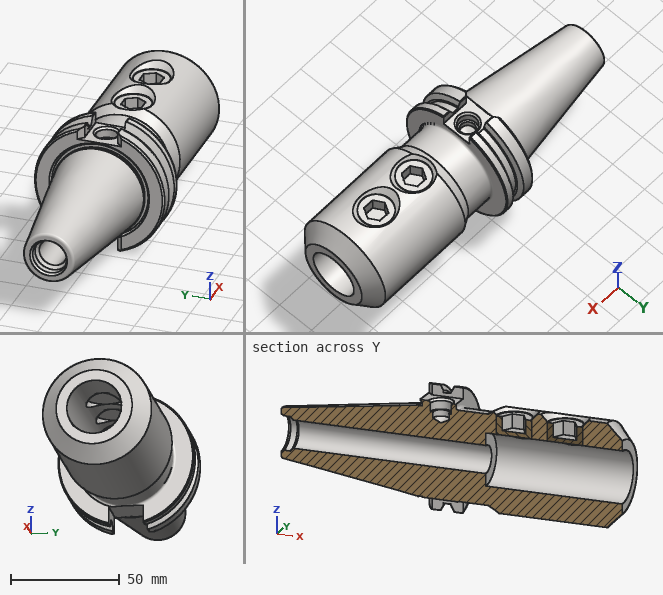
import cadquery as cq
import math

LENGTH = 169.9

TAPER_END_X = 68.3
TAPER_LARGE_DIA = 44.5
TAPER_PER_LENGTH = 7 / 24
SMALL_END_FILLET = 1.4
UNDERCUT_DIA = 44.0

FLANGE_DIA = 63.4
FLANGE_FRONT_X = 69.1
FLANGE_BACK_X = 87.1
FRONT_CORNER = 0.8
BACK_CORNER = 0.5
RECESS_OUTER_DIA = 49.0
RECESS_FLOOR_DIA = 47.0
RECESS_DEPTH = 1.0

GROOVE_FLOOR_DIA = 56.0
GROOVE_FLOOR_START_X = 77.3
GROOVE_FLOOR_END_X = 80.9
FRONT_FLANK_DEPTH = 2.5
FLANK_SLOPE = math.tan(math.radians(30))

NECK_DIA = 44.5
NECK_FILLET = 1.2
NECK_END_X = 103.0
BODY_DIA = 50.8
BODY_START_X = 108.5
NOSE_CHAMFER = 7.6

STUD_MOUTH_DIA = 18.2
STUD_BORE_DIA = 16.5
STUD_MOUTH_DEPTH = 1.4
STUD_BORE_DEPTH = 4.6
PASSAGE_DIA = 13.5
TOOL_BORE_DIA = 25.5
TOOL_BORE_START_X = 102.0

SLOT_WIDTH = 16.1
SLOT_CHAMFER = 2.7
SLOT_EDGE_BREAK = 0.3
TOP_SLOT_FLOOR = 25.0
BOTTOM_SLOT_FLOOR = 22.5

SLOT_HOLE_X = 79.5
SLOT_HOLE_MOUTH_DIA = 12.2
SLOT_HOLE_DIA = 10.2
SLOT_HOLE_DEPTH = 5.1
PILOT_DIA = 8.0
PILOT_DEPTH = 8.2
PILOT_TIP_ANGLE = 130

SCREW_PITCH = 25.3
FIRST_SCREW_X = 115.8
SCREW_XS = [FIRST_SCREW_X, FIRST_SCREW_X + SCREW_PITCH]
SCREW_DIA = 17.3
SCREW_TOP_Z = 21.9
COUNTERSINK_FLOOR_Z = 22.3
SCREW_BOTTOM_Z = TOOL_BORE_DIA / 2
COUNTERSINK_TOP_Z = BODY_DIA / 2
HEX_ACROSS_FLATS = 10.0
HEX_DEPTH = 6.8


def revolve_about_x(profile):
    return profile.close().revolve(360, (0, 0, 0), (1, 0, 0))


def outer_shape():
    small_radius = (TAPER_LARGE_DIA - TAPER_END_X * TAPER_PER_LENGTH) / 2
    flange_radius = FLANGE_DIA / 2
    floor_radius = GROOVE_FLOOR_DIA / 2
    body_radius = BODY_DIA / 2
    front_flank_x = GROOVE_FLOOR_START_X - FRONT_FLANK_DEPTH * FLANK_SLOPE
    back_flank_x = GROOVE_FLOOR_END_X + (flange_radius - floor_radius) * FLANK_SLOPE
    profile = (
        cq.Workplane("XY")
        .lineTo(0, small_radius)
        .lineTo(TAPER_END_X, TAPER_LARGE_DIA / 2)
        .lineTo(TAPER_END_X, UNDERCUT_DIA / 2)
        .lineTo(FLANGE_FRONT_X + RECESS_DEPTH, UNDERCUT_DIA / 2)
        .lineTo(FLANGE_FRONT_X + RECESS_DEPTH, RECESS_FLOOR_DIA / 2)
        .lineTo(FLANGE_FRONT_X, RECESS_OUTER_DIA / 2)
        .lineTo(FLANGE_FRONT_X, flange_radius - FRONT_CORNER)
        .lineTo(FLANGE_FRONT_X + FRONT_CORNER, flange_radius)
        .lineTo(front_flank_x, flange_radius)
        .lineTo(GROOVE_FLOOR_START_X, flange_radius - FRONT_FLANK_DEPTH)
        .lineTo(GROOVE_FLOOR_START_X, floor_radius)
        .lineTo(GROOVE_FLOOR_END_X, floor_radius)
        .lineTo(back_flank_x, flange_radius)
        .lineTo(FLANGE_BACK_X - BACK_CORNER, flange_radius)
        .lineTo(FLANGE_BACK_X, flange_radius - BACK_CORNER)
        .lineTo(FLANGE_BACK_X, NECK_DIA / 2 + NECK_FILLET)
        .radiusArc((FLANGE_BACK_X + NECK_FILLET, NECK_DIA / 2), -NECK_FILLET)
        .lineTo(NECK_END_X, NECK_DIA / 2)
        .lineTo(BODY_START_X, body_radius)
        .lineTo(LENGTH - NOSE_CHAMFER, body_radius)
        .lineTo(LENGTH, body_radius - NOSE_CHAMFER)
        .lineTo(LENGTH, 0)
    )
    return revolve_about_x(profile).faces("<X").edges().fillet(SMALL_END_FILLET)


def axial_bores():
    passage_start_x = STUD_BORE_DEPTH + (STUD_BORE_DIA - PASSAGE_DIA) / 2
    profile = (
        cq.Workplane("XY")
        .lineTo(0, STUD_MOUTH_DIA / 2)
        .lineTo(STUD_MOUTH_DEPTH, STUD_BORE_DIA / 2)
        .lineTo(STUD_BORE_DEPTH, STUD_BORE_DIA / 2)
        .lineTo(passage_start_x, PASSAGE_DIA / 2)
        .lineTo(TOOL_BORE_START_X, PASSAGE_DIA / 2)
        .lineTo(TOOL_BORE_START_X, TOOL_BORE_DIA / 2)
        .lineTo(LENGTH, TOOL_BORE_DIA / 2)
        .lineTo(LENGTH, 0)
    )
    return revolve_about_x(profile)


def slot_cutter(floor_height):
    """Vertical slot open at the top, flaring at 45 degrees towards the taper side."""
    half_width = SLOT_WIDTH / 2
    return (
        cq.Workplane("XY", origin=(0, 0, floor_height))
        .moveTo(FLANGE_FRONT_X, half_width + SLOT_CHAMFER)
        .lineTo(FLANGE_FRONT_X + SLOT_CHAMFER, half_width)
        .lineTo(FLANGE_BACK_X + NECK_FILLET, half_width)
        .lineTo(FLANGE_BACK_X + NECK_FILLET, -half_width)
        .lineTo(FLANGE_FRONT_X + SLOT_CHAMFER, -half_width)
        .lineTo(FLANGE_FRONT_X, -half_width - SLOT_CHAMFER)
        .close()
        .extrude(FLANGE_DIA / 2 - floor_height)
    )


def break_slot_edges(holder):
    """Chamfer the straight edges where the slot walls meet the rim of the flange."""
    edge_height = math.sqrt((FLANGE_DIA / 2) ** 2 - (SLOT_WIDTH / 2) ** 2)
    above = cq.selectors.BoxSelector(
        (FLANGE_FRONT_X, -SLOT_WIDTH, edge_height - SLOT_EDGE_BREAK),
        (FLANGE_BACK_X, SLOT_WIDTH, edge_height + SLOT_EDGE_BREAK),
    )
    below = cq.selectors.BoxSelector(
        (FLANGE_FRONT_X, -SLOT_WIDTH, -edge_height - SLOT_EDGE_BREAK),
        (FLANGE_BACK_X, SLOT_WIDTH, -edge_height + SLOT_EDGE_BREAK),
    )
    return holder.edges("|X").edges(above + below).chamfer(SLOT_EDGE_BREAK)


def slot_hole():
    """Threaded hole with a 45 degree mouth and a drilled pilot ending in a cone."""
    mouth_depth = (SLOT_HOLE_MOUTH_DIA - SLOT_HOLE_DIA) / 2
    tip_length = PILOT_DIA / 2 / math.tan(math.radians(PILOT_TIP_ANGLE / 2))
    profile = (
        cq.Workplane("XZ")
        .lineTo(SLOT_HOLE_MOUTH_DIA / 2, 0)
        .lineTo(SLOT_HOLE_DIA / 2, -mouth_depth)
        .lineTo(SLOT_HOLE_DIA / 2, -SLOT_HOLE_DEPTH)
        .lineTo(PILOT_DIA / 2, -SLOT_HOLE_DEPTH)
        .lineTo(PILOT_DIA / 2, -PILOT_DEPTH)
        .lineTo(0, -PILOT_DEPTH - tip_length)
        .close()
    )
    return profile.revolve(360, (0, 0, 0), (0, 1, 0)).translate((SLOT_HOLE_X, 0, TOP_SLOT_FLOOR))


def screw_hole(x):
    """Hole from the axis past the screw top, then a 45 degree countersink to the outside."""
    screw_radius = SCREW_DIA / 2
    countersink_radius = screw_radius + COUNTERSINK_TOP_Z - COUNTERSINK_FLOOR_Z
    profile = (
        cq.Workplane("XZ")
        .lineTo(screw_radius, 0)
        .lineTo(screw_radius, COUNTERSINK_FLOOR_Z)
        .lineTo(countersink_radius, COUNTERSINK_TOP_Z)
        .lineTo(0, COUNTERSINK_TOP_Z)
        .close()
    )
    return profile.revolve(360, (0, 0, 0), (0, 1, 0)).translate((x, 0, 0))


def make_holder():
    holder = outer_shape().cut(axial_bores())
    holder = holder.cut(slot_cutter(TOP_SLOT_FLOOR))
    holder = holder.cut(slot_cutter(BOTTOM_SLOT_FLOOR).mirror("XY"))
    holder = break_slot_edges(holder)
    holder = holder.cut(slot_hole())
    for x in SCREW_XS:
        holder = holder.cut(screw_hole(x))
    return holder


def make_screw(x):
    """Flat-ended set screw with a hexagon socket whose corners point along X."""
    hex_corner_dia = HEX_ACROSS_FLATS / math.cos(math.radians(30))
    screw = (
        cq.Workplane("XY", origin=(x, 0, SCREW_BOTTOM_Z))
        .circle(SCREW_DIA / 2)
        .extrude(SCREW_TOP_Z - SCREW_BOTTOM_Z)
    )
    socket = (
        cq.Workplane("XY", origin=(x, 0, SCREW_TOP_Z))
        .polygon(6, hex_corner_dia)
        .extrude(-HEX_DEPTH)
    )
    return screw.cut(socket)


holder = make_holder()
screws = [make_screw(x) for x in SCREW_XS]

result = cq.Compound.makeCompound([holder.val(), *[screw.val() for screw in screws]])